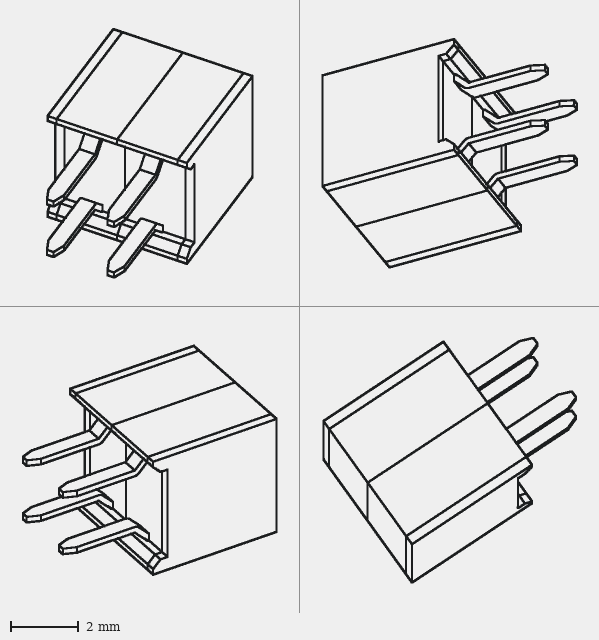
import cadquery as cq
import math


total_width = 4.6
total_length = 6.7
housing_height = 4.0
housing_length = 4.3

pole_count = 2
end_plate_width = 0.3
pole_width = (total_width - 2 * end_plate_width) / pole_count

lip_depth = 0.5
lip_root_thickness = 0.455
lip_tip_thickness = 0.2
lip_chamfer = lip_root_thickness - lip_tip_thickness

pin_width = 0.52
pin_thickness = 0.2
pin_row_spacing = housing_height / 2
pin_tip_width = 0.22
pin_taper_length = 0.395
bend_distance = 0.49
bend_angle = math.radians(45)

half_height = housing_height / 2
lip_tip_y = -housing_length
wall_y = lip_tip_y + lip_depth
lip_underside_z = half_height - lip_root_thickness
pin_tip_y = -total_length
pole_centers = [(i - (pole_count - 1) / 2) * pole_width for i in range(pole_count)]
end_plate_center = (total_width - end_plate_width) / 2


def housing_slice(center_x, width):
    """Slice of the housing: a block with a chamfered lip above and below its front wall."""
    half_outline = [
        (0, half_height),
        (lip_tip_y, half_height),
        (lip_tip_y, half_height - lip_tip_thickness),
        (lip_tip_y + lip_chamfer, lip_underside_z),
        (wall_y, lip_underside_z),
    ]
    mirrored_outline = [(y, -z) for y, z in reversed(half_outline)]
    return (
        cq.Workplane("YZ", origin=(center_x - width / 2, 0, 0))
        .polyline(half_outline + mirrored_outline)
        .close()
        .extrude(width)
    )


def pole_block(center_x):
    return housing_slice(center_x, pole_width)


def end_plate(center_x):
    return housing_slice(center_x, end_plate_width)


def bent_strip(center_x):
    """Upper pin before tapering: from the corner of wall and lip it slopes down, then runs level."""
    outer_z = (pin_row_spacing + pin_thickness) / 2
    inner_z = outer_z - pin_thickness
    bend_y = wall_y - bend_distance
    slope = math.tan(bend_angle)

    lip_contact_y = bend_y + (lip_underside_z - outer_z) / slope

    arc_end_y = bend_y + pin_thickness * math.sin(bend_angle)
    arc_end_z = outer_z - pin_thickness * math.cos(bend_angle)
    arc_middle_y = bend_y + pin_thickness * math.sin(bend_angle / 2)
    arc_middle_z = outer_z - pin_thickness * math.cos(bend_angle / 2)
    wall_contact_z = arc_end_z + (wall_y - arc_end_y) * slope

    return (
        cq.Workplane("YZ", origin=(center_x - pin_width / 2, 0, 0))
        .moveTo(wall_y, lip_underside_z)
        .lineTo(lip_contact_y, lip_underside_z)
        .lineTo(bend_y, outer_z)
        .lineTo(pin_tip_y, outer_z)
        .lineTo(pin_tip_y, inner_z)
        .lineTo(bend_y, inner_z)
        .threePointArc((arc_middle_y, arc_middle_z), (arc_end_y, arc_end_z))
        .lineTo(wall_y, wall_contact_z)
        .close()
        .extrude(pin_width)
    )


def pin_plan(center_x):
    """Prism with the shape of the pin seen from above: straight sides and a tapered tip."""
    taper_start_y = pin_tip_y + pin_taper_length
    return (
        cq.Workplane("XY", origin=(center_x, 0, 0))
        .polyline([
            (-pin_width / 2, wall_y),
            (-pin_width / 2, taper_start_y),
            (-pin_tip_width / 2, pin_tip_y),
            (pin_tip_width / 2, pin_tip_y),
            (pin_width / 2, taper_start_y),
            (pin_width / 2, wall_y),
        ])
        .close()
        .extrude(half_height)
    )


def upper_pin(center_x):
    return bent_strip(center_x).intersect(pin_plan(center_x))


def lower_pin(center_x):
    return upper_pin(center_x).mirror("XY")


pole_blocks = [pole_block(x).val() for x in pole_centers]
end_plates = [end_plate(x).val() for x in (-end_plate_center, end_plate_center)]
pins = [make_pin(x).solids().val() for x in pole_centers for make_pin in (upper_pin, lower_pin)]

result = cq.Compound.makeCompound([*pole_blocks, *end_plates, *pins])